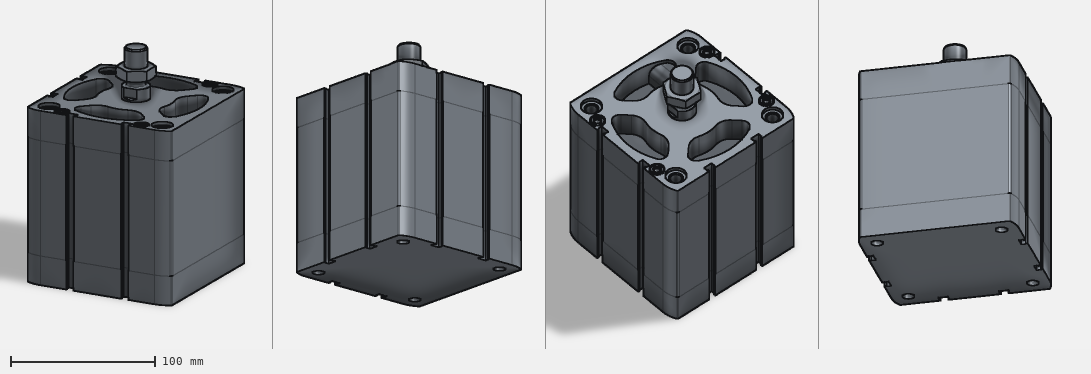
import cadquery as cq
import math

WIDTH = 113.5
HOUSING_HEIGHT = 127.4
CAP_HEIGHT = 21.6
CORNER_ARC_RADIUS = 23.7
CORNER_ARC_START = 44.8
CAP_CORNER_FILLET = 1.0
BARREL_CORNER_FILLET = 2.0

SLOT_OFFSET = 21.6
SLOT_DEPTH = 4.8
SLOT_INNER_WIDTH = 7.0
SLOT_OPENING = 5.5
SLOT_LIP = 1.5
BARREL_SLOT_CHAMFER = 0.5

MOUNT_OFFSET = 44.5
MOUNT_DIAMETER = 8.4
MOUNT_CHAMFER = 0.8
MOUNT_BORE_DIAMETER = 15.0
MOUNT_BORE_DEPTH = 2.6

SCREW_X = 31.3
SCREW_Y = 50.5
SCREW_DIAMETER = 10.7
SCREW_TOP_DIAMETER = 9.0
SCREW_EDGE_DEPTH = 0.8
SOCKET_DIAMETER = 5.0
SOCKET_MOUTH_DIAMETER = 6.0
SOCKET_CONE_START = 2.0
SOCKET_CONE_DEPTH = 1.3

POCKET_OUTER_DIAMETER = 100.0
POCKET_INNER_RADIUS = 27.7
POCKET_DEPTH = 19.0
STRUT_WIDTH = 13.8
POCKET_OUTER_FILLET = 6.0
POCKET_INNER_FILLET = 12.0
PORT_Y = -20.5
PORT_RADIUS = 8.4
PORT_TOP_DEPTH = 3.0

TOTAL_HEIGHT = 164.8
ROD_DIAMETER = 20.0
ROD_SHOULDER = 136.6
FLAT_WIDTH = 17.0
FLAT_BOTTOM = 129.7
FLAT_LEDGE_DROP = 1.0
THREAD_DIAMETER = 16.0
THREAD_END_DIAMETER = 14.3
THREAD_END_CHAMFER = 1.2
THREAD_BOTTOM = 142.0
NECK_DIAMETER = 13.5
NECK_TOP = 139.8
NECK_FILLET = 0.8

NUT_ACROSS_FLATS = 24.0
NUT_BOTTOM = 142.7
NUT_HEIGHT = 8.0
NUT_CHAMFER_ANGLE = 15

CAP_JOINT = HOUSING_HEIGHT - CAP_HEIGHT
HALF_WIDTH = WIDTH / 2


def section_block(bottom, height, corner_fillet):
    """Square block whose corners fall away in an arc from the +Y and -Y faces."""
    arc_centre_y = HALF_WIDTH - CORNER_ARC_RADIUS

    def arc_y(x):
        return arc_centre_y + math.sqrt(CORNER_ARC_RADIUS**2 - (x - CORNER_ARC_START) ** 2)

    middle_x = (CORNER_ARC_START + HALF_WIDTH) / 2
    end_y = arc_y(HALF_WIDTH)
    middle_y = arc_y(middle_x)
    return (
        cq.Workplane("XY", origin=(0, 0, bottom))
        .moveTo(-CORNER_ARC_START, HALF_WIDTH)
        .lineTo(CORNER_ARC_START, HALF_WIDTH)
        .threePointArc((middle_x, middle_y), (HALF_WIDTH, end_y))
        .lineTo(HALF_WIDTH, -end_y)
        .threePointArc((middle_x, -middle_y), (CORNER_ARC_START, -HALF_WIDTH))
        .lineTo(-CORNER_ARC_START, -HALF_WIDTH)
        .threePointArc((-middle_x, -middle_y), (-HALF_WIDTH, -end_y))
        .lineTo(-HALF_WIDTH, end_y)
        .threePointArc((-middle_x, middle_y), (-CORNER_ARC_START, HALF_WIDTH))
        .close()
        .extrude(height)
        .edges("|Z and (>X or <X)")
        .fillet(corner_fillet)
    )


def t_slot(bottom, height, mouth_chamfer):
    """T-slot through a section, in its +X face; the mouth edges are chamfered if a chamfer is given."""
    mouth_half = SLOT_OPENING / 2
    inner_half = SLOT_INNER_WIDTH / 2
    lip_x = HALF_WIDTH - SLOT_LIP
    upper_side = [
        (HALF_WIDTH, mouth_half + mouth_chamfer),
        (HALF_WIDTH - mouth_chamfer, mouth_half),
        (lip_x, mouth_half),
        (lip_x, inner_half),
        (HALF_WIDTH - SLOT_DEPTH, inner_half),
    ]
    if mouth_chamfer == 0:
        upper_side = upper_side[1:]
    lower_side = [(x, -y) for x, y in reversed(upper_side)]
    return (
        cq.Workplane("XY", origin=(0, 0, bottom))
        .polyline(upper_side + lower_side)
        .close()
        .extrude(height)
    )


def slotted_section(bottom, height, corner_fillet, mouth_chamfer):
    """Section of the housing with a pair of T-slots in its -X, +Y and -Y faces."""
    section = section_block(bottom, height, corner_fillet)
    slot = t_slot(bottom, height, mouth_chamfer)
    for angle in (90, 180, 270):
        for side in (-1, 1):
            placed_slot = slot.translate((0, side * SLOT_OFFSET, 0)).rotate((0, 0, 0), (0, 0, 1), angle)
            section = section.cut(placed_slot)
    return section


def pocket():
    """Kidney-shaped pocket on the +X side of the top cap."""
    floor = HOUSING_HEIGHT - POCKET_DEPTH
    apex_x = STRUT_WIDTH / math.sqrt(2)
    ring = (
        cq.Workplane("XY", origin=(0, 0, floor))
        .circle(POCKET_OUTER_DIAMETER / 2)
        .circle(POCKET_INNER_RADIUS)
        .extrude(POCKET_DEPTH)
    )
    wedge = (
        cq.Workplane("XY", origin=(0, 0, floor))
        .moveTo(apex_x, 0)
        .lineTo(WIDTH, WIDTH - apex_x)
        .lineTo(WIDTH, apex_x - WIDTH)
        .close()
        .extrude(POCKET_DEPTH)
    )
    shape = ring.intersect(wedge)
    shape = shape.edges("|Z").edges("<Y or >Y").fillet(POCKET_OUTER_FILLET)
    return shape.edges("|Z").edges("<X").fillet(POCKET_INNER_FILLET)


def port_wall():
    """Rounded step around the supply port, standing on the floor of the +X pocket."""
    floor = HOUSING_HEIGHT - POCKET_DEPTH
    top = HOUSING_HEIGHT - PORT_TOP_DEPTH
    return (
        cq.Workplane("YZ")
        .moveTo(-HALF_WIDTH, floor)
        .lineTo(-HALF_WIDTH, top)
        .lineTo(PORT_Y, top)
        .radiusArc((PORT_Y + PORT_RADIUS, top - PORT_RADIUS), PORT_RADIUS)
        .lineTo(PORT_Y + PORT_RADIUS, floor)
        .close()
        .extrude(HALF_WIDTH)
    )


def mounting_holes():
    """Through holes with a chamfered edge below a counterbore."""
    radius = MOUNT_DIAMETER / 2
    bore_floor = HOUSING_HEIGHT - MOUNT_BORE_DEPTH
    hole = (
        cq.Workplane("XZ")
        .polyline([
            (0, 0),
            (radius, 0),
            (radius, bore_floor - MOUNT_CHAMFER),
            (radius + MOUNT_CHAMFER, bore_floor),
            (MOUNT_BORE_DIAMETER / 2, bore_floor),
            (MOUNT_BORE_DIAMETER / 2, HOUSING_HEIGHT),
            (0, HOUSING_HEIGHT),
        ])
        .close()
        .revolve(360, (0, 0), (0, 1))
        .val()
    )
    spacing = 2 * MOUNT_OFFSET
    return (
        cq.Workplane("XY")
        .rarray(spacing, spacing, 2, 2)
        .eachpoint(lambda place: hole.moved(place), combine=False)
    )


def screw_recesses():
    """Edge groove and socket of each tie screw head."""
    groove = (
        cq.Workplane("XZ")
        .polyline([
            (SCREW_TOP_DIAMETER / 2, HOUSING_HEIGHT),
            (SCREW_DIAMETER / 2, HOUSING_HEIGHT),
            (SCREW_DIAMETER / 2, HOUSING_HEIGHT - SCREW_EDGE_DEPTH),
        ])
        .close()
        .revolve(360, (0, 0), (0, 1))
    )
    mouth_depth = (SOCKET_MOUTH_DIAMETER - SOCKET_DIAMETER) / 2
    cone_start = HOUSING_HEIGHT - SOCKET_CONE_START
    socket = (
        cq.Workplane("XZ")
        .polyline([
            (0, HOUSING_HEIGHT),
            (SOCKET_MOUTH_DIAMETER / 2, HOUSING_HEIGHT),
            (SOCKET_DIAMETER / 2, HOUSING_HEIGHT - mouth_depth),
            (SOCKET_DIAMETER / 2, cone_start),
            (0, cone_start - SOCKET_CONE_DEPTH),
        ])
        .close()
        .revolve(360, (0, 0), (0, 1))
    )
    recess = cq.Compound.makeCompound([groove.val(), socket.val()])
    return (
        cq.Workplane("XY")
        .rarray(2 * SCREW_X, 2 * SCREW_Y, 2, 2)
        .eachpoint(lambda place: recess.moved(place), combine=False)
    )


def make_housing():
    """Caps and barrel as one solid; their flush faces stay separate along the joints."""
    bottom_cap = slotted_section(0, CAP_HEIGHT, CAP_CORNER_FILLET, 0)
    barrel = slotted_section(
        CAP_HEIGHT, CAP_JOINT - CAP_HEIGHT, BARREL_CORNER_FILLET, BARREL_SLOT_CHAMFER
    )
    top_cap = slotted_section(CAP_JOINT, CAP_HEIGHT, CAP_CORNER_FILLET, 0)
    body = bottom_cap.union(barrel, clean=False).union(top_cap, clean=False)
    plain_pocket = pocket()
    cutters = [plain_pocket.cut(port_wall()), mounting_holes(), screw_recesses()]
    for angle in (90, 180, 270):
        cutters.append(plain_pocket.rotate((0, 0, 0), (0, 0, 1), angle))
    for cutter in cutters:
        body = body.cut(cutter, clean=False)
    return body


def make_rod():
    """Stepped rod standing on the top cap, with two wrench flats and a threaded end."""
    rod_radius = ROD_DIAMETER / 2
    thread_radius = THREAD_DIAMETER / 2
    neck_radius = NECK_DIAMETER / 2
    rod = (
        cq.Workplane("XZ")
        .polyline([
            (0, HOUSING_HEIGHT),
            (rod_radius, HOUSING_HEIGHT),
            (rod_radius, ROD_SHOULDER),
            (neck_radius, ROD_SHOULDER),
            (neck_radius, NECK_TOP),
            (thread_radius, THREAD_BOTTOM),
            (thread_radius, TOTAL_HEIGHT - THREAD_END_CHAMFER),
            (THREAD_END_DIAMETER / 2, TOTAL_HEIGHT),
            (0, TOTAL_HEIGHT),
        ])
        .close()
        .revolve(360, (0, 0), (0, 1))
    )
    neck_edges = cq.selectors.BoxSelector(
        (-rod_radius, -rod_radius, ROD_SHOULDER - NECK_FILLET),
        (rod_radius, rod_radius, NECK_TOP + NECK_FILLET),
    )
    rod = rod.edges("%CIRCLE").edges(neck_edges).edges(cq.selectors.RadiusNthSelector(0)).fillet(NECK_FILLET)
    flat_y = FLAT_WIDTH / 2
    flat_cut = (
        cq.Workplane("YZ")
        .polyline([
            (flat_y, ROD_SHOULDER),
            (flat_y, FLAT_BOTTOM),
            (rod_radius, FLAT_BOTTOM - FLAT_LEDGE_DROP),
            (rod_radius, ROD_SHOULDER),
        ])
        .close()
        .extrude(rod_radius, both=True)
    )
    return rod.cut(flat_cut).cut(flat_cut.mirror("XZ"))


def make_nut():
    """Hexagon nut with corners on the Y axis and chamfered at both ends."""
    corner_radius = NUT_ACROSS_FLATS / math.sqrt(3)
    flat_radius = NUT_ACROSS_FLATS / 2
    drop = (corner_radius - flat_radius) * math.tan(math.radians(NUT_CHAMFER_ANGLE))
    hexagon = (
        cq.Workplane("XY", origin=(0, 0, NUT_BOTTOM))
        .polygon(6, 2 * corner_radius)
        .extrude(NUT_HEIGHT)
        .rotate((0, 0, 0), (0, 0, 1), 90)
    )
    top = NUT_BOTTOM + NUT_HEIGHT
    chamfered_disc = (
        cq.Workplane("XZ")
        .polyline([
            (THREAD_DIAMETER / 2, NUT_BOTTOM),
            (flat_radius, NUT_BOTTOM),
            (corner_radius, NUT_BOTTOM + drop),
            (corner_radius, top - drop),
            (flat_radius, top),
            (THREAD_DIAMETER / 2, top),
        ])
        .close()
        .revolve(360, (0, 0), (0, 1))
    )
    return hexagon.intersect(chamfered_disc)


housing = make_housing()
rod = make_rod()
nut = make_nut()

result = cq.Compound.makeCompound([housing.val(), rod.val(), nut.val()])